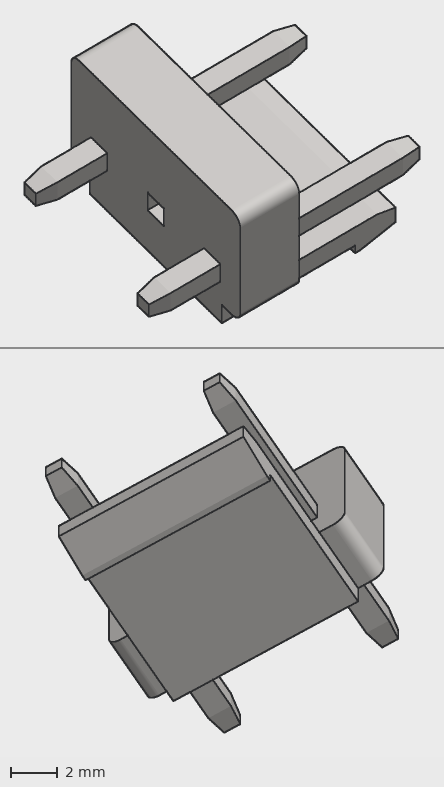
import cadquery as cq

housing_width = 11.83
housing_depth = 3.18
housing_height = 6.8
corner_radius = 0.6
pin_axis_height = 2.0
housing_bottom = -pin_axis_height

pin_pitch = 3.95
pin_size = 1.14
pin_tip_size = 0.8
pin_taper = 1.04
pin_length = 14.6
pin_front_reach = 3.72

latch_width = 9.25
latch_thickness = 1.2
latch_length = 9.37
latch_bevel_length = 1.0
latch_bevel_drop = 0.25
hook_drop = 0.5
hook_start = 7.18
hook_flat = 0.28


def make_housing():
    middle_height = housing_bottom + housing_height / 2
    return (
        cq.Workplane("XY")
        .box(housing_width, housing_depth, housing_height)
        .edges("|Y")
        .fillet(corner_radius)
        .translate((0, housing_depth / 2, middle_height))
    )


def make_latch():
    latch_bottom = housing_bottom - latch_thickness
    hook_bottom = latch_bottom - hook_drop
    profile = [
        (0, housing_bottom),
        (latch_length - latch_bevel_length, housing_bottom),
        (latch_length, housing_bottom - latch_bevel_drop),
        (latch_length, latch_bottom),
        (hook_start + hook_flat, hook_bottom),
        (hook_start, hook_bottom),
        (hook_start, latch_bottom),
        (0, latch_bottom),
    ]
    return cq.Workplane("YZ").polyline(profile).close().extrude(latch_width / 2, both=True)


def make_pin_tip():
    """Square frustum narrowing from the pin shank toward +Y."""
    return (
        cq.Workplane("XZ")
        .rect(pin_size, pin_size)
        .workplane(offset=-pin_taper)
        .rect(pin_tip_size, pin_tip_size)
        .loft(ruled=True)
    )


def make_pin():
    shank_length = pin_length - 2 * pin_taper
    shank = cq.Workplane("XY").box(pin_size, shank_length, pin_size)
    back_tip = make_pin_tip().translate((0, shank_length / 2, 0))
    front_tip = back_tip.mirror("XZ")
    pin = shank.union(back_tip).union(front_tip)
    return pin.translate((0, pin_length / 2 - pin_front_reach, 0))


def make_empty_pin_hole():
    return (
        cq.Workplane("XY")
        .box(pin_size, housing_depth, pin_size)
        .translate((0, housing_depth / 2, 0))
    )


result = make_housing().union(make_latch()).cut(make_empty_pin_hole())
for side in (-1, 1):
    result = result.union(make_pin().translate((side * pin_pitch, 0, 0)))